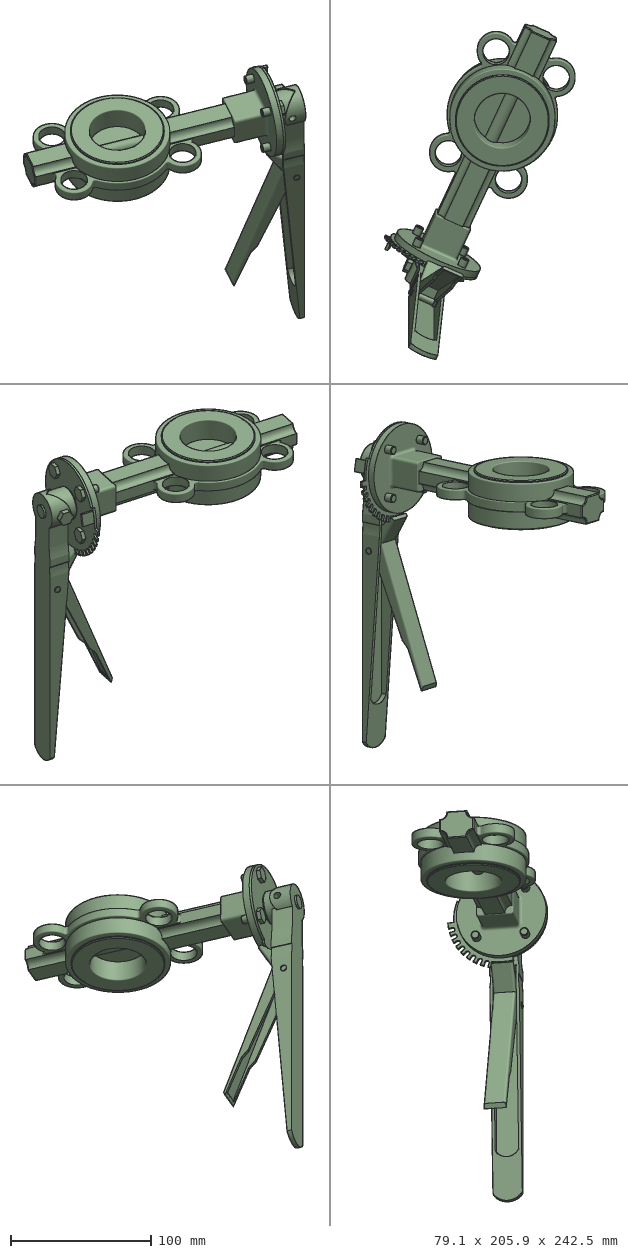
import cadquery as cq
import math


BODY_DIAMETER = 75.0
BODY_HALF_HEIGHT = 16.7
SEAT_DIAMETER = 67.0
SEAT_HALF_HEIGHT = 18.2
BORE_DIAMETER = 40.0
BORE_EDGE_ROUND = 0.7
EDGE_ROUND = 0.7

RING_DIAMETER = 78.8
PLATE_THICKNESS = 7.3
LUG_X = 23.5
LUG_Y = 41.0
LUG_DIAMETER = 27.0
LUG_HOLE_DIAMETER = 19.0
LUG_BLEND = 2.0

NECK_FOOT_Y = -66.7
NECK_HALF_WIDTH = 12.4
NECK_HALF_HEIGHT = 10.2
NECK_TOP_HALF_WIDTH = 7.3
NECK_SIDE_HALF_HEIGHT = 4.5
NECK_CORNER_BULGE = 1.2
NECK_END_CHAMFER = 0.7

BLOCK_WIDTH = 27.0
BLOCK_HEIGHT = 22.3
BLOCK_FRONT_Y = 84.1
BLOCK_ROUND = 2.2
FLANGE_BLEND = 2.2
FLANGE_DIAMETER = 65.0
FLANGE_FRONT_Y = 109.0
FLANGE_BACK_Y = 114.0

DISC_THICKNESS = 4.0
STEM_DIAMETER = 10.0
STEM_END_Y = 139.2

BOLT_DIAMETER = 6.0
BOLT_HEAD_FLATS = 10.0
BOLT_HEAD_THICKNESS = 3.0
CLAMP_HEAD_THICKNESS = 4.0
BOLT_LENGTH = 12.9
BOLT_END_CHAMFER = 0.5
BOLT_OFFSET = 17.7

NOTCH_PLATE_THICKNESS = 1.7
NOTCH_PLATE_BACK_Y = FLANGE_BACK_Y + NOTCH_PLATE_THICKNESS
TOOTH_TIP_RADIUS = 39.8
NOTCH_ROOT_RADIUS = 35.5
TOOTH_PITCH = 8.5
NOTCH_COUNT = 8
NOTCH_WIDTH = 3.2
FIRST_NOTCH_ANGLE = 1.5 * TOOTH_PITCH
TOOTH_START_ANGLE = 0.5 * TOOTH_PITCH
TOOTH_END_ANGLE = 9.1 * TOOTH_PITCH
REST_END_ANGLE = 103
TAB_ANGLE = -11
TAB_WIDTH = 9.5
TAB_THICKNESS = 2.0
TAB_RADIUS = 33.0
TAB_END_Y = 125.0

HANDLE_BACK_Y = 137.7
HANDLE_FRONT_Y = 122.0
HUB_DIAMETER = 27.0
HUB_FRONT_DIAMETER = 24.7
HUB_FOOT_CHAMFER = 1.2
HUB_RELIEF_PEAK_Y = 134.3
ARM_HALF_WIDTH = 10.7
ARM_TOP_HALF_WIDTH = 9.5
ARM_STEP_HALF_WIDTH = 10.2
UPPER_FLARE_Z = (-26.7, -36.1)
ARM_STEP_Z = -42.2
LOWER_FLARE_END_Z = -51.0
FLARE_SAG = 0.2
ARM_END_Z = -210.0
ARM_END_CORNER_Z = -204.2
ARM_END_FRONT_Y = 134.5
CAVITY_HALF_WIDTH = 8.5
CAVITY_FLOOR_Y = 135.8
CAVITY_TOP_Z = -35.2
CAVITY_CORNER_Z = -172.2
CAVITY_END_Z = -177.5
CLAMP_Y = 127.8
CLAMP_HOLE_DIAMETER = 5.0

TRIGGER_HALF_WIDTH = 8.0
TRIGGER_WALL = 2.0
TRIGGER_ROUND = 1.7
TRIGGER_TIP_BACK = (115.7, -36.9)
TRIGGER_TIP_TOP = (113.2, -35.5)
TRIGGER_TIP_FRONT = (110.8, -37.3)
TRIGGER_BEND = (121.7, -55.8)
TRIGGER_END_FRONT = (84.0, -155.0)
TRIGGER_END_BACK = (85.4, -158.5)
TRIGGER_SIDE_END = (98.0, -129.3)
TRIGGER_SIDE_STEP = (103.0, -124.2)
TRIGGER_HEEL_BOTTOM = (129.3, -66.5)
TRIGGER_HEEL_LOW = (134.3, -64.3)
TRIGGER_HEEL_TOP = (134.3, -53.0)
PIN_DIAMETER = 4.5
PIN_Y = 131.7
PIN_Z = -62.5
PIN_HALF_LENGTH = 11.5


def y_cylinder(diameter, start_y, end_y, x=0.0, z=0.0):
    """Cylinder along +Y from start_y to end_y."""
    return cq.Workplane(
        cq.Solid.makeCylinder(diameter / 2, end_y - start_y, cq.Vector(x, start_y, z), cq.Vector(0, 1, 0))
    )


def x_cylinder(diameter, start_x, end_x, y, z):
    """Cylinder along +X from start_x to end_x."""
    return cq.Workplane(
        cq.Solid.makeCylinder(diameter / 2, end_x - start_x, cq.Vector(start_x, y, z), cq.Vector(1, 0, 0))
    )


def xz_plane_at(y):
    """Sketch plane at height y: local x is X, local y is Z, and positive extrusion goes to -Y."""
    return cq.Workplane("XZ", origin=(0, y, 0))


def sector_point(radius, angle):
    """X and Z of a point on the notch plate, with the angle in degrees from -X towards -Z."""
    turn = math.radians(angle)
    return (-radius * math.cos(turn), -radius * math.sin(turn))


def mirrored_pairs(x, y):
    """The four points (+-x, +-y)."""
    return [(x, y), (-x, y), (-x, -y), (x, -y)]


BOLT_PLACES = mirrored_pairs(BOLT_OFFSET, BOLT_OFFSET)



def make_body_drum():
    drum = cq.Workplane("XY").circle(BODY_DIAMETER / 2).extrude(BODY_HALF_HEIGHT, both=True)
    drum = drum.faces("|Z").edges().fillet(EDGE_ROUND)
    seat = cq.Workplane("XY").circle(SEAT_DIAMETER / 2).extrude(SEAT_HALF_HEIGHT, both=True)
    return drum.union(seat.faces("|Z").edges().chamfer(EDGE_ROUND))


def make_lug_plate():
    half = PLATE_THICKNESS / 2
    lug_places = mirrored_pairs(LUG_X, LUG_Y)
    plate = cq.Workplane("XY").circle(RING_DIAMETER / 2).extrude(half, both=True)
    plate = plate.union(cq.Workplane("XY").pushPoints(lug_places).circle(LUG_DIAMETER / 2).extrude(half, both=True))
    spine_length = 2 * (LUG_Y + 1.5 * LUG_DIAMETER / 2)
    plate = plate.union(cq.Workplane("XY").box(2 * NECK_HALF_WIDTH, spine_length, PLATE_THICKNESS))
    plate = plate.edges("|Z").fillet(LUG_BLEND)
    plate = plate.faces("|Z").edges().fillet(EDGE_ROUND)
    return plate


def lug_holes():
    places = mirrored_pairs(LUG_X, LUG_Y)
    return cq.Workplane("XY").pushPoints(places).circle(LUG_HOLE_DIAMETER / 2).extrude(PLATE_THICKNESS, both=True)


def make_neck():
    middle_x = (NECK_HALF_WIDTH + NECK_TOP_HALF_WIDTH) / 2 - NECK_CORNER_BULGE
    middle_z = (NECK_HALF_HEIGHT + NECK_SIDE_HALF_HEIGHT) / 2 - NECK_CORNER_BULGE
    a, b = NECK_HALF_WIDTH, NECK_SIDE_HALF_HEIGHT
    c, d = NECK_TOP_HALF_WIDTH, NECK_HALF_HEIGHT
    profile = (
        xz_plane_at(BLOCK_FRONT_Y)
        .moveTo(a, -b)
        .lineTo(a, b)
        .threePointArc((middle_x, middle_z), (c, d))
        .lineTo(-c, d)
        .threePointArc((-middle_x, middle_z), (-a, b))
        .lineTo(-a, -b)
        .threePointArc((-middle_x, -middle_z), (-c, -d))
        .lineTo(c, -d)
        .threePointArc((middle_x, -middle_z), (a, -b))
        .close()
    )
    neck = profile.extrude(BLOCK_FRONT_Y - NECK_FOOT_Y)
    return neck.faces("<Y").edges().chamfer(NECK_END_CHAMFER)


def make_block_and_flange():
    block = xz_plane_at(FLANGE_FRONT_Y).rect(BLOCK_WIDTH, BLOCK_HEIGHT).extrude(FLANGE_FRONT_Y - BLOCK_FRONT_Y)
    block = block.edges("|Y").fillet(BLOCK_ROUND)
    block = block.faces("<Y").edges().fillet(EDGE_ROUND)
    flange = y_cylinder(FLANGE_DIAMETER, FLANGE_FRONT_Y, FLANGE_BACK_Y)
    joined = block.union(flange)
    foot = cq.selectors.BoxSelector(
        (-BLOCK_WIDTH, FLANGE_FRONT_Y - EDGE_ROUND, -BLOCK_HEIGHT / 2 - EDGE_ROUND),
        (BLOCK_WIDTH, FLANGE_FRONT_Y + EDGE_ROUND, BLOCK_HEIGHT / 2 + EDGE_ROUND),
        boundingbox=True,
    )
    joined = joined.edges(foot).fillet(FLANGE_BLEND)
    for x, z in BOLT_PLACES:
        joined = joined.cut(y_cylinder(BOLT_DIAMETER, FLANGE_FRONT_Y, FLANGE_BACK_Y, x, z))
    return joined


def make_valve():
    valve = make_body_drum().union(make_lug_plate()).union(make_neck()).union(make_block_and_flange())
    valve = valve.cut(lug_holes())
    valve = valve.cut(cq.Workplane("XY").circle(BORE_DIAMETER / 2).extrude(SEAT_HALF_HEIGHT, both=True))
    valve = valve.faces(">Z or <Z").edges(cq.selectors.RadiusNthSelector(0)).fillet(BORE_EDGE_ROUND)
    disc = cq.Workplane("XY").circle(BORE_DIAMETER / 2).extrude(DISC_THICKNESS / 2, both=True)
    stem = y_cylinder(STEM_DIAMETER, -BODY_DIAMETER / 2, STEM_END_Y)
    return valve.union(disc).union(stem)



def ring_sector(radius, start_angle, end_angle):
    """Pie slice of the notch plate from the stem axis out to the radius."""
    middle = sector_point(radius, (start_angle + end_angle) / 2)
    return (
        xz_plane_at(NOTCH_PLATE_BACK_Y)
        .moveTo(0, 0)
        .lineTo(*sector_point(radius, start_angle))
        .threePointArc(middle, sector_point(radius, end_angle))
        .close()
        .extrude(NOTCH_PLATE_THICKNESS)
    )


def notch(angle):
    """Radial slot with a round root."""
    length = 2 * (TOOTH_TIP_RADIUS - NOTCH_ROOT_RADIUS)
    slot = (
        xz_plane_at(NOTCH_PLATE_BACK_Y)
        .center(-NOTCH_ROOT_RADIUS - length / 2, 0)
        .slot2D(length, NOTCH_WIDTH)
        .extrude(NOTCH_PLATE_THICKNESS)
    )
    return slot.rotate((0, 0, 0), (0, 1, 0), -angle)


def stop_tab():
    height = TAB_END_Y - FLANGE_BACK_Y
    tab = cq.Workplane("XY").box(TAB_THICKNESS, height, TAB_WIDTH)
    tab = tab.translate((-TAB_RADIUS - TAB_THICKNESS / 2, FLANGE_BACK_Y + height / 2, 0))
    return tab.rotate((0, 0, 0), (0, 1, 0), -TAB_ANGLE)


def make_notch_plate():
    plate = y_cylinder(FLANGE_DIAMETER, FLANGE_BACK_Y, NOTCH_PLATE_BACK_Y)
    plate = plate.union(ring_sector(TOOTH_TIP_RADIUS, TOOTH_START_ANGLE, TOOTH_END_ANGLE))
    plate = plate.union(ring_sector(NOTCH_ROOT_RADIUS, 2 * TAB_ANGLE, REST_END_ANGLE))
    for index in range(NOTCH_COUNT):
        plate = plate.cut(notch(FIRST_NOTCH_ANGLE + index * TOOTH_PITCH))
    plate = plate.union(stop_tab())
    for x, z in BOLT_PLACES:
        plate = plate.cut(y_cylinder(BOLT_DIAMETER, FLANGE_BACK_Y, NOTCH_PLATE_BACK_Y, x, z))
    return plate.cut(y_cylinder(STEM_DIAMETER, FLANGE_BACK_Y, NOTCH_PLATE_BACK_Y))



def make_hub():
    hub = y_cylinder(HUB_DIAMETER, HANDLE_FRONT_Y, HANDLE_BACK_Y)
    radius = HUB_DIAMETER / 2
    relief = (
        cq.Workplane("XY")
        .polyline([(0, HUB_RELIEF_PEAK_Y), (radius, HANDLE_FRONT_Y), (-radius, HANDLE_FRONT_Y)])
        .close()
        .extrude(radius, both=True)
    )
    core = y_cylinder(HUB_FRONT_DIAMETER, NOTCH_PLATE_BACK_Y, HANDLE_BACK_Y)
    core = core.faces("<Y").edges().chamfer(HUB_FOOT_CHAMFER)
    return hub.cut(relief).union(core)


def arm_outline():
    """Front outline of the arm, extruded through its full depth."""
    flare_top, flare_end = UPPER_FLARE_Z
    upper_middle = ((ARM_TOP_HALF_WIDTH + ARM_HALF_WIDTH) / 2 - FLARE_SAG, (flare_top + flare_end) / 2)
    lower_middle = (
        (ARM_STEP_HALF_WIDTH + ARM_HALF_WIDTH) / 2 - FLARE_SAG,
        (ARM_STEP_Z + LOWER_FLARE_END_Z) / 2,
    )
    return (
        xz_plane_at(HANDLE_BACK_Y)
        .moveTo(ARM_TOP_HALF_WIDTH, 0)
        .lineTo(ARM_TOP_HALF_WIDTH, flare_top)
        .threePointArc(upper_middle, (ARM_HALF_WIDTH, flare_end))
        .lineTo(ARM_HALF_WIDTH, ARM_STEP_Z)
        .lineTo(ARM_STEP_HALF_WIDTH, ARM_STEP_Z)
        .threePointArc(lower_middle, (ARM_HALF_WIDTH, LOWER_FLARE_END_Z))
        .lineTo(ARM_HALF_WIDTH, ARM_END_CORNER_Z)
        .threePointArc((0, ARM_END_Z), (-ARM_HALF_WIDTH, ARM_END_CORNER_Z))
        .lineTo(-ARM_HALF_WIDTH, LOWER_FLARE_END_Z)
        .threePointArc((-lower_middle[0], lower_middle[1]), (-ARM_STEP_HALF_WIDTH, ARM_STEP_Z))
        .lineTo(-ARM_HALF_WIDTH, ARM_STEP_Z)
        .lineTo(-ARM_HALF_WIDTH, flare_end)
        .threePointArc((-upper_middle[0], upper_middle[1]), (-ARM_TOP_HALF_WIDTH, flare_top))
        .lineTo(-ARM_TOP_HALF_WIDTH, 0)
        .close()
        .extrude(HANDLE_BACK_Y - HANDLE_FRONT_Y)
    )


def make_arm():
    side_profile = (
        cq.Workplane("YZ")
        .moveTo(HANDLE_BACK_Y, 0)
        .lineTo(HANDLE_FRONT_Y, 0)
        .lineTo(HANDLE_FRONT_Y, LOWER_FLARE_END_Z)
        .lineTo(ARM_END_FRONT_Y, ARM_END_Z)
        .lineTo(HANDLE_BACK_Y, ARM_END_Z)
        .close()
        .extrude(ARM_HALF_WIDTH, both=True)
    )
    cavity = (
        xz_plane_at(CAVITY_FLOOR_Y)
        .moveTo(CAVITY_HALF_WIDTH, CAVITY_TOP_Z)
        .lineTo(CAVITY_HALF_WIDTH, CAVITY_CORNER_Z)
        .threePointArc((0, CAVITY_END_Z), (-CAVITY_HALF_WIDTH, CAVITY_CORNER_Z))
        .lineTo(-CAVITY_HALF_WIDTH, CAVITY_TOP_Z)
        .close()
        .extrude(CAVITY_FLOOR_Y - HANDLE_FRONT_Y)
    )
    return arm_outline().intersect(side_profile).cut(cavity)


def make_handle():
    handle = make_hub().union(make_arm())
    handle = handle.cut(y_cylinder(STEM_DIAMETER, NOTCH_PLATE_BACK_Y, HANDLE_BACK_Y))
    handle = handle.cut(x_cylinder(BOLT_DIAMETER, -HUB_DIAMETER / 2, 0, CLAMP_Y, 0))
    handle = handle.cut(x_cylinder(CLAMP_HOLE_DIAMETER, 0, HUB_DIAMETER / 2, CLAMP_Y, 0))
    return handle.cut(x_cylinder(PIN_DIAMETER, -PIN_HALF_LENGTH, PIN_HALF_LENGTH, PIN_Y, PIN_Z))



def make_trigger():
    outline = [
        TRIGGER_TIP_BACK,
        TRIGGER_TIP_TOP,
        TRIGGER_TIP_FRONT,
        TRIGGER_BEND,
        TRIGGER_END_FRONT,
        TRIGGER_END_BACK,
        TRIGGER_SIDE_END,
        TRIGGER_SIDE_STEP,
        TRIGGER_HEEL_BOTTOM,
        TRIGGER_HEEL_LOW,
        TRIGGER_HEEL_TOP,
    ]
    trigger = cq.Workplane("YZ").polyline(outline).close().extrude(TRIGGER_HALF_WIDTH, both=True)
    rounded_spans = [
        (TRIGGER_TIP_BACK, TRIGGER_HEEL_TOP),
        (TRIGGER_TIP_FRONT, TRIGGER_BEND),
        (TRIGGER_BEND, TRIGGER_END_FRONT),
    ]
    for start, end in rounded_spans:
        trigger = round_long_edges(trigger, start, end)
    trigger = trigger.cut(trigger_channel())
    return trigger.cut(x_cylinder(PIN_DIAMETER, -PIN_HALF_LENGTH, PIN_HALF_LENGTH, PIN_Y, PIN_Z))


def round_long_edges(trigger, start, end):
    """Round the two side edges of the trigger face that runs from start to end."""
    middle_y = (start[0] + end[0]) / 2
    middle_z = (start[1] + end[1]) / 2
    for x in (TRIGGER_HALF_WIDTH, -TRIGGER_HALF_WIDTH):
        edge = cq.selectors.NearestToPointSelector((x, middle_y, middle_z))
        trigger = trigger.edges(edge).fillet(TRIGGER_ROUND)
    return trigger


def trigger_channel():
    """Hollow behind the finger web, open to the back between the two side walls."""
    bend_y, bend_z = TRIGGER_BEND
    end_y, end_z = TRIGGER_END_FRONT
    length = math.hypot(bend_y - end_y, bend_z - end_z)
    web_y = TRIGGER_WALL * (bend_z - end_z) / length
    web_z = -TRIGGER_WALL * (bend_y - end_y) / length
    top = (bend_y + web_y, bend_z + web_z)
    bottom = (end_y + web_y, end_z + web_z)
    return (
        cq.Workplane("YZ")
        .polyline([top, bottom, (HANDLE_BACK_Y, bottom[1]), (HANDLE_BACK_Y, top[1])])
        .close()
        .extrude(TRIGGER_HALF_WIDTH - TRIGGER_WALL, both=True)
    )


def make_pin():
    return x_cylinder(PIN_DIAMETER, -PIN_HALF_LENGTH, PIN_HALF_LENGTH, PIN_Y, PIN_Z)



def make_bolt(shank_length, head_thickness):
    """Bolt along Y: head on +Y, underside of the head at y = 0, a head corner pointing to +X."""
    corner_diameter = BOLT_HEAD_FLATS / math.cos(math.radians(30))
    head = xz_plane_at(head_thickness).polygon(6, corner_diameter).extrude(head_thickness)
    shank = y_cylinder(BOLT_DIAMETER, -shank_length, 0)
    shank = shank.faces("<Y").edges().chamfer(BOLT_END_CHAMFER)
    return head.union(shank)


def make_clamp_bolt():
    """Bolt through the -X side of the hub that presses on the stem."""
    bolt = make_bolt((HUB_DIAMETER - STEM_DIAMETER) / 2, CLAMP_HEAD_THICKNESS)
    bolt = bolt.rotate((0, 0, 0), (0, 0, 1), 90)
    return bolt.translate((-HUB_DIAMETER / 2, CLAMP_Y, 0))


valve = make_valve()
notch_plate = make_notch_plate()
handle = make_handle()
trigger = make_trigger()
pin = make_pin()
flange_bolts = [
    make_bolt(BOLT_LENGTH, BOLT_HEAD_THICKNESS).translate((x, NOTCH_PLATE_BACK_Y, z)) for x, z in BOLT_PLACES
]
clamp_bolt = make_clamp_bolt()

result = cq.Compound.makeCompound(
    [
        valve.val(),
        notch_plate.val(),
        handle.val(),
        trigger.val(),
        pin.val(),
        *[bolt.val() for bolt in flange_bolts],
        clamp_bolt.val(),
    ]
)